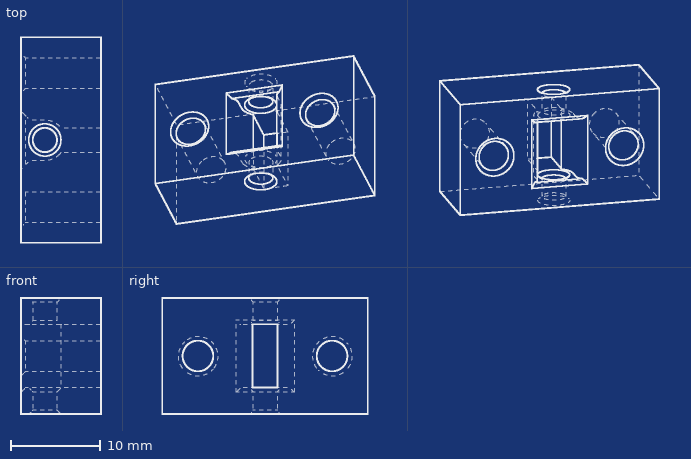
import cadquery as cq
import math

depth, length, height = 9.0, 23.0, 13.0

mount_diameter = 3.4
mount_offset = 7.5
mount_chamfer = 0.5

cross_diameter = 2.7
cross_x = 2.7
cross_chamfer = 0.45

pocket_height = 7.04
mouth_chamfer = 0.5
mouth_width = 6.5
pocket_radius = 2.25
pocket_center_x = cross_x
flare_radius = 1.0
slot_width = 2.75


def countersunk_hole(plane, travel, diameter, chamfer):
    """Cutter for a hole that starts at the plane, with a 45 degree countersink there."""
    radius = diameter / 2
    bore = cq.Workplane(plane).circle(radius).extrude(travel)
    sink = cq.Workplane(plane).circle(radius + chamfer).extrude(chamfer, taper=45)
    return bore.union(sink)


def pocket_cutter():
    """Pocket cross-section in XY, extruded over the pocket height, plus the chamfered mouth."""
    half_mouth = mouth_width / 2
    flare_y = pocket_radius + flare_radius * (1 - math.cos(math.pi / 4))
    flare_x = half_mouth - flare_y
    wall_x = flare_x + flare_radius * math.sin(math.pi / 4)
    arc_mid_x = wall_x - flare_radius * math.sin(math.pi / 8)
    arc_mid_y = pocket_radius + flare_radius * (1 - math.cos(math.pi / 8))
    end_x = pocket_center_x + pocket_radius

    room = (
        cq.Workplane("XY", origin=(0, 0, -pocket_height / 2))
        .moveTo(0, half_mouth)
        .lineTo(flare_x, flare_y)
        .threePointArc((arc_mid_x, arc_mid_y), (wall_x, pocket_radius))
        .lineTo(pocket_center_x, pocket_radius)
        .threePointArc((end_x, 0), (pocket_center_x, -pocket_radius))
        .lineTo(wall_x, -pocket_radius)
        .threePointArc((arc_mid_x, -arc_mid_y), (flare_x, -flare_y))
        .lineTo(0, -half_mouth)
        .close()
        .extrude(pocket_height)
    )
    slot = cq.Workplane("XY").box(depth - pocket_center_x, slot_width, pocket_height)
    slot = slot.translate(((depth + pocket_center_x) / 2, 0, 0))
    mouth = (
        cq.Workplane("YZ")
        .rect(mouth_width, pocket_height + 2 * mouth_chamfer)
        .extrude(mouth_chamfer, taper=45)
    )
    return room.union(slot).union(mouth)


block = cq.Workplane("XY").box(depth, length, height).translate((depth / 2, 0, 0))
result = block.cut(pocket_cutter())

for side in (-1, 1):
    mount_plane = cq.Plane((0, side * mount_offset, 0), xDir=(0, 1, 0), normal=(1, 0, 0))
    result = result.cut(countersunk_hole(mount_plane, depth, mount_diameter, mount_chamfer))

wall_thickness = (height - pocket_height) / 2
for side in (-1, 1):
    for start_z, direction in ((height / 2, -side), (pocket_height / 2, side)):
        cross_plane = cq.Plane((cross_x, 0, side * start_z), xDir=(1, 0, 0), normal=(0, 0, direction))
        result = result.cut(countersunk_hole(cross_plane, wall_thickness, cross_diameter, cross_chamfer))